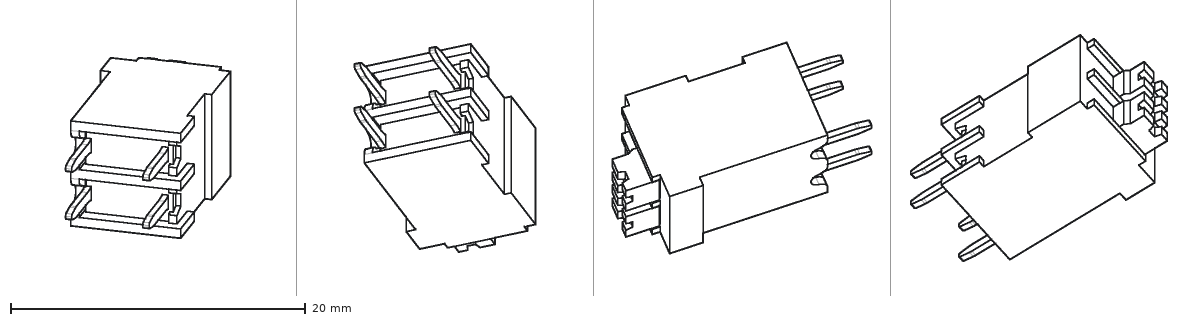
import cadquery as cq
import math


housing_width = 8.5
housing_front_y = 3.49
shoulder_y = 15.24
neck_end_y = 15.8
neck_left_x = 1.82
neck_right_x = 7.68
body_left_x = 0.69
latch_bottom_y = 12.8
recess_bottom_y = 6.7
recess_top_y = 10.81
recess_floor_x = 8.0

housing_height = 7.7
plate_thickness = 0.69
bay_count = 2
bay_height = (housing_height - (bay_count + 1) * plate_thickness) / bay_count
bay_pitch = bay_height + plate_thickness
bay_centers_z = [plate_thickness + bay_height / 2 + i * bay_pitch for i in range(bay_count)]

side_wall_inner_x = 1.3
core_left_x = 1.45
core_right_x = 7.4
core_front_y = 4.57
gap_depth = 0.6

pad_thickness = 0.07
pad_setback = 0.15
pad_height = 2.37
lip_height = 0.05

lug_front_y = 4.28
notch_floor_y = 5.19
notch_mouth_height = 1.61
notch_floor_height = 0.88
tongue_right_x = 7.65

cutout_depth = 1.2
cutout_waist_depth = 0.64
cutout_waist_half_height = 0.67

pin_left_edges_x = (1.38, 6.87)
pin_thickness = 0.45
shaft_half_height = 0.39
root_half_height = 0.51
flare_start_y = 3.77
taper_start_y = 1.01
tip_half_height = 0.2
taper_blend_radius = 1.06
tip_fillet = 0.16

actuator_left_x = 1.88
actuator_right_x = 4.53
actuator_foot_x = 4.76
actuator_end_y = 17.7
actuator_height = 2.73
ramp_top_y = 16.51
ramp_bottom_y = 16.15
slot_depth = 0.5
slot_mouth_width = 0.88
slot_floor_width = 0.62
slot_center_x = 3.0


def box(x_range, y_range, z_range):
    """Axis-aligned block given by its start and end along each axis."""
    size = [end - start for start, end in (x_range, y_range, z_range)]
    return (
        cq.Workplane("XY")
        .box(*size, centered=False)
        .translate((x_range[0], y_range[0], z_range[0]))
    )


def side_prism(wire_yz, x_start, x_end):
    """Extrude a closed outline drawn in Y and Z from x_start to x_end."""
    return wire_yz.extrude(x_end - x_start).translate((x_start, 0, 0))


def housing_blank():
    """Full-height block with the neck, latch step and side recess of the outline."""
    outline = [
        (body_left_x, housing_front_y),
        (housing_width, housing_front_y),
        (housing_width, recess_bottom_y),
        (recess_floor_x, recess_bottom_y),
        (recess_floor_x, recess_top_y),
        (housing_width, recess_top_y),
        (housing_width, shoulder_y),
        (neck_right_x, shoulder_y),
        (neck_right_x, neck_end_y),
        (neck_left_x, neck_end_y),
        (neck_left_x, shoulder_y),
        (0, shoulder_y),
        (0, latch_bottom_y),
        (body_left_x, latch_bottom_y),
    ]
    return cq.Workplane("XY").polyline(outline).close().extrude(housing_height)


def trapezoid_yz(center_z, mouth_y, mouth_height, floor_y, floor_height):
    """Notch outline that narrows from its mouth to its floor."""
    return (
        cq.Workplane("YZ")
        .moveTo(mouth_y, center_z - mouth_height / 2)
        .lineTo(floor_y, center_z - floor_height / 2)
        .lineTo(floor_y, center_z + floor_height / 2)
        .lineTo(mouth_y, center_z + mouth_height / 2)
        .close()
    )


def bay_space(center_z):
    """Everything removed from one bay, leaving the core, its lugs and the side wall."""
    bay = (center_z - bay_height / 2, center_z + bay_height / 2)

    front = box((side_wall_inner_x, housing_width), (housing_front_y, core_front_y), bay)
    lugs = box((core_right_x, recess_floor_x), (lug_front_y, core_front_y), bay)
    open_side = box((recess_floor_x, housing_width), (core_front_y, recess_bottom_y), bay)
    neck_channel = box((neck_left_x, neck_right_x), (shoulder_y, neck_end_y), bay)

    gap_y = (core_front_y, core_front_y + gap_depth)
    gap = box((side_wall_inner_x, core_left_x), gap_y, bay)
    pad_x = (core_left_x - pad_thickness, core_left_x)
    pad_z = (bay[1] - pad_height, bay[1])
    pad = box(pad_x, (core_front_y + pad_setback, gap_y[1]), pad_z)
    lip = box((neck_left_x, actuator_left_x), (shoulder_y, shoulder_y + lip_height), pad_z)

    notch_outline = trapezoid_yz(
        center_z, lug_front_y, notch_mouth_height, notch_floor_y, notch_floor_height
    )
    notch = side_prism(notch_outline, core_right_x, recess_floor_x)
    tongue = box((core_right_x, tongue_right_x), (core_front_y, notch_floor_y), bay)

    return (
        front.cut(lugs)
        .union(open_side)
        .union(neck_channel.cut(lip))
        .union(gap.cut(pad))
        .union(notch.cut(tongue))
    )


def side_wall_cutout(center_z):
    """Round-bottomed cutout whose lips curve out, tangent to the front face at the bay edges."""
    lip_offset = bay_height / 2
    lip_rise = lip_offset - cutout_waist_half_height
    lip_radius = (lip_rise**2 + cutout_waist_depth**2) / (2 * cutout_waist_depth)
    half_sweep = math.asin(lip_rise / lip_radius) / 2
    lip_mid_y = housing_front_y + lip_radius * (1 - math.cos(half_sweep))
    lip_mid_offset = lip_offset - lip_radius * math.sin(half_sweep)
    waist_y = housing_front_y + cutout_waist_depth
    low_waist = (waist_y, center_z - cutout_waist_half_height)
    high_waist = (waist_y, center_z + cutout_waist_half_height)
    outline = (
        cq.Workplane("YZ")
        .moveTo(housing_front_y, center_z - lip_offset)
        .threePointArc((lip_mid_y, center_z - lip_mid_offset), low_waist)
        .threePointArc((housing_front_y + cutout_depth, center_z), high_waist)
        .threePointArc((lip_mid_y, center_z + lip_mid_offset), (housing_front_y, center_z + lip_offset))
        .close()
    )
    return side_prism(outline, body_left_x, side_wall_inner_x)


def make_housing():
    body = housing_blank()
    for center_z in bay_centers_z:
        body = body.cut(bay_space(center_z)).cut(side_wall_cutout(center_z))
    return body


def make_pin(left_x, center_z):
    """Flat pin with a flared root on the core and a tapered, rounded tip."""
    flare_length = core_front_y - flare_start_y
    flare_rise = root_half_height - shaft_half_height
    flare_radius = (flare_length**2 + flare_rise**2) / (2 * flare_rise)
    flare_mid_y = flare_start_y + flare_length / 2
    flare_mid_rise = flare_radius - math.sqrt(flare_radius**2 - (flare_length / 2) ** 2)
    flare_mid = shaft_half_height + flare_mid_rise
    outline = (
        cq.Workplane("YZ")
        .moveTo(0, -tip_half_height)
        .lineTo(taper_start_y, -shaft_half_height)
        .lineTo(flare_start_y, -shaft_half_height)
        .threePointArc((flare_mid_y, -flare_mid), (core_front_y, -root_half_height))
        .lineTo(core_front_y, root_half_height)
        .threePointArc((flare_mid_y, flare_mid), (flare_start_y, shaft_half_height))
        .lineTo(taper_start_y, shaft_half_height)
        .lineTo(0, tip_half_height)
        .close()
    )
    pin = outline.extrude(pin_thickness)
    taper_zone = cq.selectors.BoxSelector(
        (0, flare_start_y / 2, -root_half_height),
        (pin_thickness, 0, root_half_height),
    )
    pin = pin.edges(taper_zone).edges("|X").edges("not(<Y)").fillet(taper_blend_radius)
    pin = pin.faces("<Y").edges("|X").fillet(tip_fillet)
    return pin.translate((left_x, 0, center_z))


def make_actuator(center_z):
    """Block standing on the neck channel floor, with crossed slots in its end face."""
    slot_floor_y = actuator_end_y - slot_depth
    outline = [
        (actuator_left_x, shoulder_y),
        (actuator_foot_x, shoulder_y),
        (actuator_foot_x, ramp_bottom_y),
        (actuator_right_x, ramp_top_y),
        (actuator_right_x, actuator_end_y),
        (slot_center_x + slot_mouth_width / 2, actuator_end_y),
        (slot_center_x + slot_floor_width / 2, slot_floor_y),
        (slot_center_x - slot_floor_width / 2, slot_floor_y),
        (slot_center_x - slot_mouth_width / 2, actuator_end_y),
        (actuator_left_x, actuator_end_y),
    ]
    body = cq.Workplane("XY").polyline(outline).close().extrude(actuator_height)
    body = body.translate((0, 0, center_z - actuator_height / 2))
    cross_slot = trapezoid_yz(
        center_z, actuator_end_y, slot_mouth_width, slot_floor_y, slot_floor_width
    )
    return body.cut(side_prism(cross_slot, actuator_left_x, actuator_foot_x))


housing = make_housing()
pins = [make_pin(left_x, center_z) for center_z in bay_centers_z for left_x in pin_left_edges_x]
actuators = [make_actuator(center_z) for center_z in bay_centers_z]

result = cq.Compound.makeCompound(
    [
        housing.val(),
        *[pin.val() for pin in pins],
        *[actuator.val() for actuator in actuators],
    ]
)